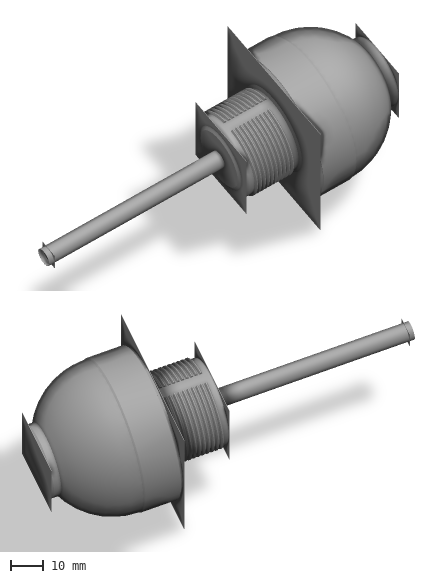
import cadquery as cq
import math

AXIS_START = (0, 0, 0)
AXIS_END = (0, 1, 0)

length = 123.7
base_radius = 25.0
base_top = 13.5
base_edge_drop = 0.2
base_step_height = 1.1
base_top_chamfer = 0.6
mounting_face_radius = 24.0
cap_radius = 11.9
cap_top = 38.4
cap_chamfer_width = 0.4
cap_chamfer_height = 0.7

collar_radius = 14.1
collar_length = 19.7
collar_fillet = 1.1
flare_radius = 15.1
flare_length = 0.6
thread_pitch = 1.5
thread_depth = 0.7
thread_root_width = 1.2
thread_crest_width = 0.2
thread_embed = 0.1
thread_start = -17.5
thread_turns = 10.5
keyway_width = 3.7

boss_root_radius = 11.1
boss_end_radius = 9.9
boss_height = 0.6

plate_thickness = 0.1
cap_plate_size = 23.0
mounting_plate_size = 49.7
collar_plate_size = 27.2
cable_plate_size = 6.4

cable_radius = 3.0
cable_recess_radius = 2.8
cable_recess_depth = 1.7

dome_radius = base_radius - base_edge_drop
collar_end = -collar_length
boss_end = collar_end - boss_height
cable_end = cap_top - length


def square_plate(size, start):
    """Thin square plate across the axis, growing from Y = start toward +Y."""
    return cq.Workplane("XY").box(size, plate_thickness, size, centered=(True, False, True)).translate(
        (0, start, 0)
    )


def base_and_dome():
    """Revolved cap, spherical dome and base; the sphere's centre lies at the top of the base."""
    dome_end = base_top + math.sqrt(dome_radius**2 - cap_radius**2)
    middle_angle = math.acos(cap_radius / dome_radius) / 2
    dome_middle = (dome_radius * math.cos(middle_angle), base_top + dome_radius * math.sin(middle_angle))
    return (
        cq.Workplane("XY")
        .moveTo(0, 0)
        .lineTo(mounting_face_radius, 0)
        .lineTo(dome_radius, base_step_height)
        .lineTo(base_radius, base_step_height)
        .lineTo(base_radius, base_top - base_top_chamfer)
        .lineTo(dome_radius, base_top)
        .threePointArc(dome_middle, (cap_radius, dome_end))
        .lineTo(cap_radius, cap_top - cap_chamfer_height)
        .lineTo(cap_radius - cap_chamfer_width, cap_top)
        .lineTo(0, cap_top)
        .close()
        .revolve(360, AXIS_START, AXIS_END)
    )


def cone(start_radius, start, end_radius, end):
    """Truncated cone about the axis, from Y = start to Y = end."""
    return (
        cq.Workplane("XY")
        .moveTo(0, start)
        .lineTo(start_radius, start)
        .lineTo(end_radius, end)
        .lineTo(0, end)
        .close()
        .revolve(360, AXIS_START, AXIS_END)
    )


def collar():
    """Core of the threaded collar with its flared root, rounded end and conical cable boss."""
    core = cq.Workplane("XZ").circle(collar_radius).extrude(collar_length)
    core = core.faces("<Y").edges().fillet(collar_fillet)
    flare = cone(flare_radius, 0, collar_radius, -flare_length)
    boss = cone(boss_root_radius, collar_end, boss_end_radius, boss_end)
    return core.union(flare).union(boss)


def thread():
    """Right-handed helical ridge with a keyway through it on the +Z and -Z sides."""
    inner_radius = collar_radius - thread_embed
    crest_radius = collar_radius + thread_depth
    helix = cq.Wire.makeHelix(thread_pitch, thread_turns * thread_pitch, inner_radius)
    ridge = (
        cq.Workplane("XZ")
        .moveTo(inner_radius, -thread_root_width / 2)
        .lineTo(crest_radius, -thread_crest_width / 2)
        .lineTo(crest_radius, thread_crest_width / 2)
        .lineTo(inner_radius, thread_root_width / 2)
        .close()
        .sweep(cq.Workplane(obj=helix), isFrenet=True)
    )
    ridge = ridge.rotate((0, 0, 0), (0, 0, 1), 90).rotate((0, 0, 0), (1, 0, 0), -90)
    ridge = ridge.translate((0, thread_start, 0))
    keyway = cq.Workplane("XY").box(keyway_width, 2 * length, 2 * base_radius)
    return ridge.cut(keyway)


def make_housing():
    """Base, dome and threaded collar as one solid, with the square plates at its end faces."""
    body = base_and_dome().union(collar())
    body = body.union(square_plate(cap_plate_size, cap_top - plate_thickness))
    body = body.union(square_plate(mounting_plate_size, 0))
    body = body.union(square_plate(collar_plate_size, collar_end))
    return body.union(thread())


def make_cable():
    """Round cable from the boss, with a shallow recess and a square plate near its free end."""
    recess_floor = cable_end + cable_recess_depth
    cable = cq.Workplane("XZ", origin=(0, boss_end, 0)).circle(cable_radius).extrude(boss_end - cable_end)
    recess = (
        cq.Workplane("XZ", origin=(0, recess_floor, 0))
        .circle(cable_recess_radius)
        .extrude(cable_recess_depth)
    )
    return cable.cut(recess).union(square_plate(cable_plate_size, recess_floor))


housing = make_housing()
cable = make_cable()
result = cq.Compound.makeCompound([housing.val(), cable.val()])